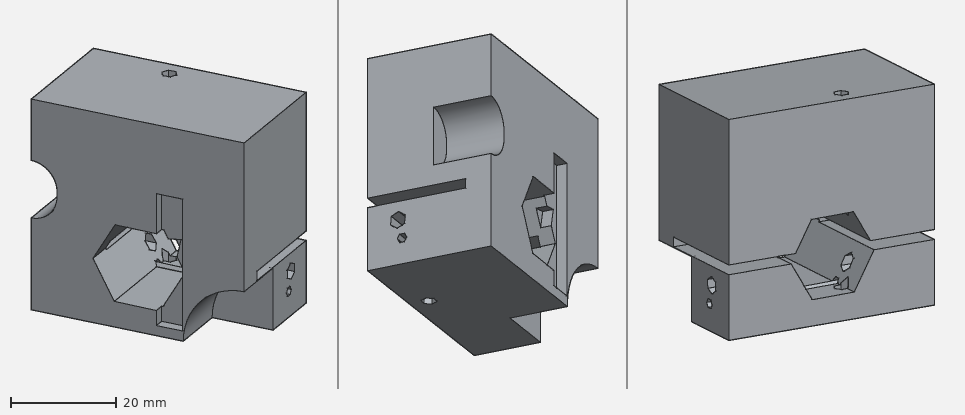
import cadquery as cq
import math

LENGTH = 45.2
DEPTH = 26.25
HEIGHT = 43.9

BORE_X = 22.35
BORE_Z = 13.3
BORE_RADIUS = 9.22
BORE_TURN = -0.6

SIDE_POCKET_RADIUS = 5.45
SIDE_POCKET_FLAT = 1.0
SIDE_POCKET_Z = 25.15
SIDE_POCKET_DEPTH = 12.2

CORNER_RADIUS = 12.95
CORNER_DEPTH = SIDE_POCKET_DEPTH

FRONT_SLOT_LEFT = 26.6
FRONT_SLOT_WIDTH = 5.5
FRONT_SLOT_BOTTOM = 2.12
FRONT_SLOT_HEIGHT = 27.45
FRONT_SLOT_DEPTH = 2.2

NOTCH_CORNER_X = 30.7
NOTCH_CORNER_Z = 19.95
NOTCH_SIDE = 4.5
NOTCH_TOP_ANGLE = 188.0
NOTCH_SIDE_ANGLE = 257.0
NOTCH_DEPTH = 2.25

SLIT_FRONT_WALL = 5.43
SLIT_BOTTOM = 13.05
SLIT_WIDTH = 1.95

TOP_HOLE = (18.15, 22.3, 1.55, 4.0)
LARGE_SIDE_HOLE = (19.8, 9.25, 1.7, 95.0)
SMALL_SIDE_HOLE = (18.95, 5.4, 1.0, 0.0)


def box(size, corner):
    """Box of the given size with its lowest corner at the given point."""
    return cq.Workplane("XY").box(*size, centered=False).translate(corner)


def front_plane(depth=0):
    """Plane parallel to the front face; positive extrusion goes toward -Y."""
    return cq.Workplane("XZ", origin=(0, depth, 0))


def hexagon_points(center_u, center_v, radius, turn):
    """Corners of a hexagon whose first corner lies at the turn angle."""
    angles = [math.radians(turn + 60 * i) for i in range(6)]
    return [(center_u + radius * math.cos(a), center_v + radius * math.sin(a)) for a in angles]


def hexagon_hole(plane, hexagon, length):
    return cq.Workplane(plane).polyline(hexagon_points(*hexagon)).close().extrude(length)


def side_pocket():
    half_flat = SIDE_POCKET_FLAT / 2
    upper = SIDE_POCKET_Z + half_flat
    lower = SIDE_POCKET_Z - half_flat
    return (
        front_plane()
        .moveTo(0, upper + SIDE_POCKET_RADIUS)
        .radiusArc((SIDE_POCKET_RADIUS, upper), SIDE_POCKET_RADIUS)
        .lineTo(SIDE_POCKET_RADIUS, lower)
        .radiusArc((0, lower - SIDE_POCKET_RADIUS), SIDE_POCKET_RADIUS)
        .close()
        .extrude(-SIDE_POCKET_DEPTH)
    )


def corner_recess():
    return front_plane().center(LENGTH, 0).circle(CORNER_RADIUS).extrude(-CORNER_DEPTH)


def slot_notch():
    corner = (NOTCH_CORNER_X, NOTCH_CORNER_Z)
    ends = []
    for angle in (NOTCH_TOP_ANGLE, NOTCH_SIDE_ANGLE):
        direction = math.radians(angle)
        ends.append((
            corner[0] + NOTCH_SIDE * math.cos(direction),
            corner[1] + NOTCH_SIDE * math.sin(direction),
        ))
    return front_plane(FRONT_SLOT_DEPTH).polyline([corner, *ends]).close().extrude(-NOTCH_DEPTH)


front_slot = box(
    (FRONT_SLOT_WIDTH, FRONT_SLOT_DEPTH, FRONT_SLOT_HEIGHT),
    (FRONT_SLOT_LEFT, 0, FRONT_SLOT_BOTTOM),
)
clamping_slit = box(
    (LENGTH, DEPTH - SLIT_FRONT_WALL, SLIT_WIDTH),
    (0, SLIT_FRONT_WALL, SLIT_BOTTOM),
)

result = (
    box((LENGTH, DEPTH, HEIGHT), (0, 0, 0))
    .cut(hexagon_hole("XZ", (BORE_X, BORE_Z, BORE_RADIUS, BORE_TURN), -DEPTH))
    .cut(side_pocket())
    .cut(corner_recess())
    .cut(front_slot)
    .cut(slot_notch())
    .cut(clamping_slit)
    .cut(hexagon_hole("XY", TOP_HOLE, HEIGHT))
    .cut(hexagon_hole("YZ", LARGE_SIDE_HOLE, LENGTH))
    .cut(hexagon_hole("YZ", SMALL_SIDE_HOLE, LENGTH))
)